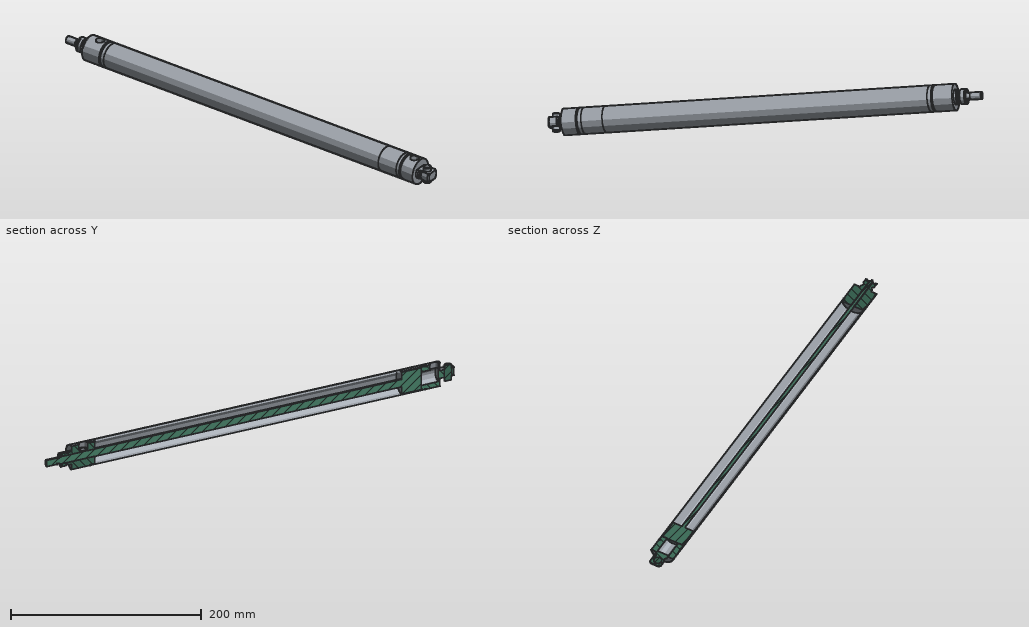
import cadquery as cq

total_length = 473.0
stud_end = 12.5
wrench_flat_end = 14.5
nose_start = 16.5
front_cap_start = 29.0
tube_start = 52.0
piston_start = 412.0
tube_end = 439.5
rear_cap_end = 457.0

body_diameter = 28.5
bore_diameter = 27.0
joint_groove_diameter = 27.0
joint_groove_width = 1.5
spigot_length = 4.3
front_spigot_end = tube_start + spigot_length
rear_spigot_start = tube_end - spigot_length
rear_bore_diameter = 15.5

nose_diameter = 16.0
nose_groove_diameter = 13.5
nose_groove_width = 4.3
nose_groove_slope = 1.5
nose_groove_land = 2.5
nose_recess_diameter = 13.5
nose_recess_depth = 1.5
tang_thickness = 10.0
tang_chamfer = 1.5

rod_diameter = 9.5
neck_diameter = 8.5
stud_diameter = 8.0
stud_chamfer = 0.5
wrench_flat_thickness = 6.0

port_diameter = 9.5
port_pilot_diameter = 6.5
front_port_x = 42.5
front_port_floor = 7.0
rear_port_x = 450.0

pin_x = 466.0
pin_diameter = 8.0
pin_length = 19.5
pin_chamfer = 1.0


def cylinder(diameter, start, end):
    """Solid cylinder on the X axis between two stations."""
    return cq.Workplane("YZ", origin=(start, 0, 0)).circle(diameter / 2).extrude(end - start)


def slab(start, end, thickness):
    """Block centred on the axis, wider than the body."""
    block = cq.Workplane("XY").box(end - start, 2 * body_diameter, thickness)
    return block.translate(((start + end) / 2, 0, 0))


def joint_groove(start):
    """Ring to cut from a cap body where it meets the tube."""
    end = start + joint_groove_width
    return cylinder(body_diameter, start, end).cut(cylinder(joint_groove_diameter, start, end))


def sloped_groove(start):
    """Ring to cut from a nose to leave a groove with a flat floor and sloped walls."""
    end = start + nose_groove_width
    outer_radius = nose_diameter / 2
    floor_radius = nose_groove_diameter / 2
    profile = [
        (start, outer_radius),
        (start + nose_groove_slope, floor_radius),
        (end - nose_groove_slope, floor_radius),
        (end, outer_radius),
    ]
    return cq.Workplane("XY").polyline(profile).close().revolve(360, (0, 0, 0), (1, 0, 0))


def port(x, diameter, floor):
    """Drill that enters from the top of the body and stops at height floor above the axis."""
    return cq.Workplane("XY", origin=(x, 0, floor)).circle(diameter / 2).extrude(body_diameter)


def make_rod():
    """Stud, flattened neck, shank and piston in one piece."""
    stud = cylinder(stud_diameter, 0, stud_end).faces("<X").chamfer(stud_chamfer)
    neck = cylinder(neck_diameter, stud_end, nose_start)
    flat_zone = cylinder(neck_diameter, stud_end, wrench_flat_end)
    neck = neck.cut(flat_zone.cut(slab(stud_end, wrench_flat_end, wrench_flat_thickness)))
    shank = cylinder(rod_diameter, nose_start, piston_start)
    piston = cylinder(bore_diameter, piston_start, rear_spigot_start)
    return stud.union(neck).union(shank).union(piston)


def make_front_cap():
    """Cap with a grooved nose and a stepped port; the rod slides through it."""
    nose = cylinder(nose_diameter, nose_start, front_cap_start)
    nose = nose.cut(sloped_groove(front_cap_start - nose_groove_land - nose_groove_width))
    nose = nose.cut(cylinder(nose_recess_diameter, nose_start, nose_start + nose_recess_depth))
    body = cylinder(body_diameter, front_cap_start, tube_start)
    body = body.cut(joint_groove(tube_start - joint_groove_width))
    spigot = cylinder(bore_diameter, tube_start, front_spigot_end)
    cap = nose.union(body).union(spigot)
    cap = cap.cut(port(front_port_x, port_diameter, front_port_floor))
    cap = cap.cut(port(front_port_x, port_pilot_diameter, 0))
    return cap.cut(cylinder(rod_diameter, nose_start, front_spigot_end))


def make_tube():
    outside = cylinder(body_diameter, tube_start, tube_end)
    return outside.cut(cylinder(bore_diameter, tube_start, tube_end))


def make_pin():
    post = cq.Workplane("XY", origin=(pin_x, 0, 0)).circle(pin_diameter / 2)
    return post.extrude(pin_length / 2, both=True).faces("|Z").chamfer(pin_chamfer)


def make_rear_cap():
    """Cap with a port into its bore and a flat, grooved tang bored for the pin."""
    tang = cylinder(nose_diameter, rear_cap_end, total_length).faces(">X").chamfer(tang_chamfer)
    tang = tang.cut(sloped_groove(rear_cap_end + nose_groove_land))
    tang = tang.intersect(slab(rear_cap_end, total_length, tang_thickness))
    body = cylinder(body_diameter, tube_end, rear_cap_end).cut(joint_groove(tube_end))
    spigot = cylinder(bore_diameter, rear_spigot_start, tube_end)
    cap = body.union(spigot).union(tang)
    cap = cap.cut(port(rear_port_x, port_diameter, 0))
    bore_end = rear_port_x + port_diameter / 2
    cap = cap.cut(cylinder(rear_bore_diameter, rear_spigot_start, bore_end))
    return cap.cut(make_pin())


rod = make_rod().solids()
front_cap = make_front_cap().solids()
tube = make_tube().solids()
rear_cap = make_rear_cap().solids()
pin = make_pin().solids()

result = cq.Compound.makeCompound(
    [rod.val(), front_cap.val(), tube.val(), rear_cap.val(), pin.val()]
)